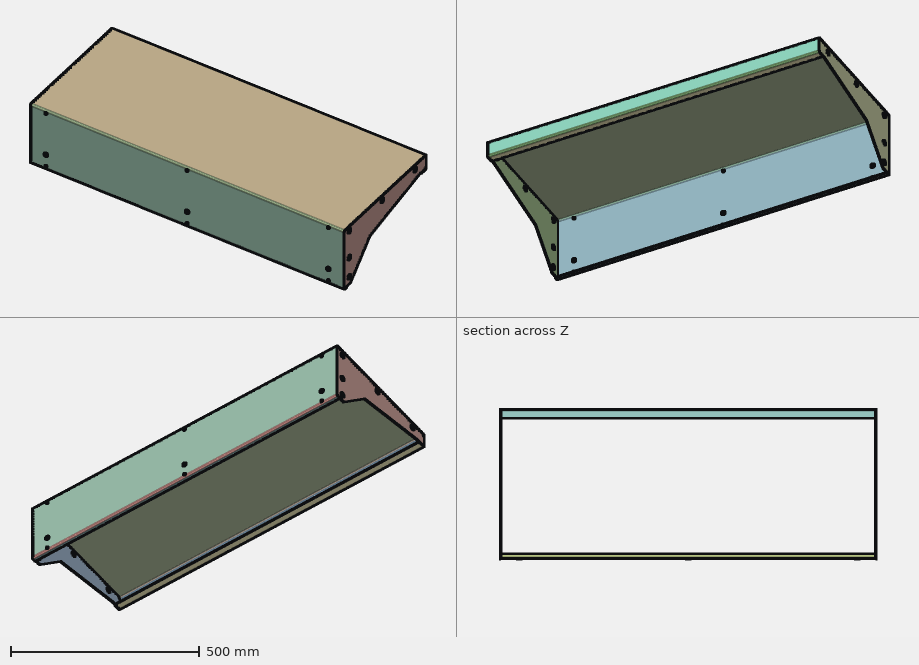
import cadquery as cq

WIDTH = 1000.0
DEPTH = 400.0
HEIGHT = 200.0
SHEET = 3.0
INNER_BEND = 3.0
OUTER_BEND = INNER_BEND + SHEET
BACK_HEIGHT = 50.0
BACK_BASE = HEIGHT - BACK_HEIGHT
FRONT_LIP = 15.0
BACK_LIP = 25.0

COLUMN_SPACING = 450.0
MOUNT_DIAMETER = 12.0
MOUNT_Z = 50.0
SMALL_DIAMETER = 7.0
SMALL_INSET = 11.0
SMALL_Z = (SMALL_INSET, HEIGHT - SMALL_INSET)

CORNER_CUT = 5.0
BRACKET_FRONT = SHEET
BRACKET_BACK = DEPTH - SHEET
BRACKET_TOP = HEIGHT - SHEET
BRACKET_BOTTOM = 4.0
BACK_BOTTOM = BACK_BASE + SHEET
BACK_FLAT_Y = 366.0
KNEE_Y = 128.0
KNEE_Z = 101.0
FOOT_Y = 34.0

BRACKET_HOLE = 15.0
TOP_HOLE_DROP = 18.0
TOP_HOLE_Z = HEIGHT - TOP_HOLE_DROP
TOP_HOLE_COUNT = 3
TOP_HOLE_SPACING = 159.0
FRONT_HOLE_Y = 28.0
FRONT_HOLE_Z = (27.0, 92.0)


def make_sheet():
    """Top panel with front wall, back flange and both lips, as one folded sheet."""
    inner_back = DEPTH - SHEET
    outline = [
        (FRONT_LIP, 0),
        (0, 0),
        (0, HEIGHT),
        (DEPTH, HEIGHT),
        (DEPTH, BACK_BASE),
        (DEPTH - BACK_LIP, BACK_BASE),
        (DEPTH - BACK_LIP, BACK_BASE + SHEET),
        (inner_back, BACK_BASE + SHEET),
        (inner_back, HEIGHT - SHEET),
        (SHEET, HEIGHT - SHEET),
        (SHEET, SHEET),
        (FRONT_LIP, SHEET),
    ]
    sheet = cq.Workplane("YZ").polyline(outline).close().extrude(WIDTH)

    outer_corners = [(0, 0), (0, HEIGHT), (DEPTH, HEIGHT), (DEPTH, BACK_BASE)]
    inner_corners = [
        (SHEET, SHEET),
        (SHEET, HEIGHT - SHEET),
        (inner_back, HEIGHT - SHEET),
        (inner_back, BACK_BASE + SHEET),
    ]
    for corners, radius in ((outer_corners, OUTER_BEND), (inner_corners, INNER_BEND)):
        for y, z in corners:
            sheet = sheet.edges(cq.NearestToPointSelector((WIDTH / 2, y, z))).fillet(radius)
    return sheet.cut(front_wall_holes())


def front_wall_holes():
    """Cutters for three columns of holes through the front wall."""
    columns = [WIDTH / 2 + i * COLUMN_SPACING for i in (-1, 0, 1)]
    mounts = [(x, MOUNT_Z) for x in columns]
    small = [(x, z) for x in columns for z in SMALL_Z]
    mount_cutters = cq.Workplane("XZ").pushPoints(mounts).circle(MOUNT_DIAMETER / 2).extrude(-OUTER_BEND)
    small_cutters = cq.Workplane("XZ").pushPoints(small).circle(SMALL_DIAMETER / 2).extrude(-OUTER_BEND)
    return mount_cutters.union(small_cutters)


def make_bracket(start_x):
    """Flat cantilever plate with its outer corners cut to clear the bends."""
    top_holes = [(FRONT_HOLE_Y + i * TOP_HOLE_SPACING, TOP_HOLE_Z) for i in range(TOP_HOLE_COUNT)]
    front_holes = [(FRONT_HOLE_Y, z) for z in FRONT_HOLE_Z]
    outline = [
        (BRACKET_FRONT + CORNER_CUT, BRACKET_BOTTOM),
        (BRACKET_FRONT, BRACKET_BOTTOM + CORNER_CUT),
        (BRACKET_FRONT, BRACKET_TOP - CORNER_CUT),
        (BRACKET_FRONT + CORNER_CUT, BRACKET_TOP),
        (BRACKET_BACK - CORNER_CUT, BRACKET_TOP),
        (BRACKET_BACK, BRACKET_TOP - CORNER_CUT),
        (BRACKET_BACK, BACK_BOTTOM + CORNER_CUT),
        (BRACKET_BACK - CORNER_CUT, BACK_BOTTOM),
        (BACK_FLAT_Y, BACK_BOTTOM),
        (KNEE_Y, KNEE_Z),
        (FOOT_Y, BRACKET_BOTTOM),
    ]
    plate = cq.Workplane("YZ").polyline(outline).close().extrude(SHEET)
    cutters = cq.Workplane("YZ").pushPoints(top_holes + front_holes).circle(BRACKET_HOLE / 2).extrude(SHEET)
    return plate.cut(cutters).translate((start_x, 0, 0))


shelf_sheet = make_sheet()
brackets = [make_bracket(x).val() for x in (0, WIDTH - SHEET)]

result = cq.Compound.makeCompound([shelf_sheet.val(), *brackets])